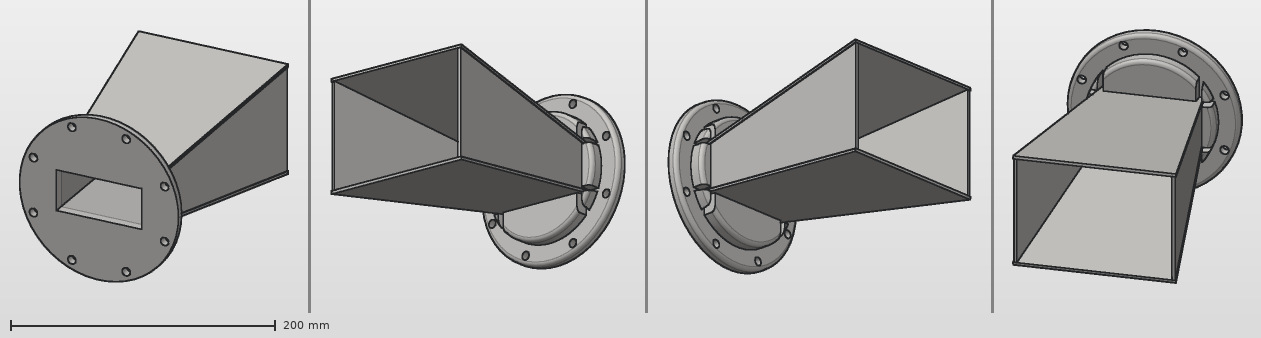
import cadquery as cq
import math


total_length = 190.5

flange_diameter = 134.9
flange_thickness = 8.0
hub_diameter = 102.1
hub_height = 11.0
rim_fillet = 3.5

bolt_count = 8
bolt_diameter = 6.7
bolt_circle_diameter = 120.4
bolt_start_angle = 180.0 / bolt_count

opening_width = 72.2
opening_height = 34.1

plate_thickness = 2.5
plate_overhang = 0.5
mouth_width = 120.8
mouth_height = 87.2

half_width = opening_width / 2
half_height = opening_height / 2
hub_end = flange_thickness + hub_height
top_plate_reach = plate_thickness + plate_overhang
horn_length = total_length - flange_thickness
side_angle = math.atan2((mouth_width - opening_width) / 2, horn_length)
top_angle = math.atan2((mouth_height - opening_height) / 2, horn_length)


def disc(diameter, start, end):
    """Cylinder about the Y axis between two Y positions."""
    return cq.Workplane("XZ", origin=(0, start, 0)).circle(diameter / 2).extrude(start - end)


def spread_at(half_opening, angle, y, offset=0.0):
    """Distance from the axis to a flared plane, offset outward along its normal."""
    return half_opening + (y - flange_thickness) * math.tan(angle) + offset / math.cos(angle)


def plate_profile(half_opening, angle):
    """Plate section as (distance from axis, y), its mouth end square to the plate."""
    inner_mouth = spread_at(half_opening, angle, total_length)
    return [
        (half_opening, flange_thickness),
        (inner_mouth, total_length),
        (
            inner_mouth + plate_thickness * math.cos(angle),
            total_length - plate_thickness * math.sin(angle),
        ),
        (spread_at(half_opening, angle, flange_thickness, plate_thickness), flange_thickness),
    ]


def slot_profile(half_opening, angle, slot_depth):
    """Hub slot section: straight inner wall, outer wall parallel to the plate."""
    return [
        (half_opening, flange_thickness),
        (half_opening, hub_end),
        (spread_at(half_opening, angle, hub_end, slot_depth), hub_end),
        (spread_at(half_opening, angle, flange_thickness, slot_depth), flange_thickness),
    ]


def flare_profile(half_opening, angle, offset=0.0):
    """Symmetric trapezoid of (distance from axis, y) from the flange to the mouth."""
    near = spread_at(half_opening, angle, flange_thickness, offset)
    far = spread_at(half_opening, angle, total_length, offset)
    return [
        (-near, flange_thickness),
        (near, flange_thickness),
        (far, total_length),
        (-far, total_length),
    ]


def prism_along_z(profile):
    """Section in X and Y, extruded both ways across the whole part."""
    return cq.Workplane("XY").polyline(profile).close().extrude(flange_diameter / 2, both=True)


def prism_along_x(profile):
    """Section in Z and Y, extruded both ways across the whole part."""
    points = [(y, z) for z, y in profile]
    return cq.Workplane("YZ").polyline(points).close().extrude(flange_diameter / 2, both=True)


def with_mirror(body, plane):
    return body.union(body.mirror(plane))


def make_flange():
    flange = disc(flange_diameter, 0, flange_thickness).faces(">Y").edges().fillet(rim_fillet)
    bolts = (
        cq.Workplane("XZ")
        .polarArray(bolt_circle_diameter / 2, bolt_start_angle, 360, bolt_count)
        .circle(bolt_diameter / 2)
        .extrude(-flange_thickness)
    )
    return flange.cut(bolts)


def make_hub():
    """Hub split by slots that receive the four horn plates."""
    hub = disc(hub_diameter, flange_thickness, hub_end).faces(">Y").edges().fillet(rim_fillet)
    side_slots = with_mirror(prism_along_z(slot_profile(half_width, side_angle, top_plate_reach)), "YZ")
    top_slots = with_mirror(prism_along_x(slot_profile(half_height, top_angle, plate_thickness)), "XY")
    return hub.cut(side_slots).cut(top_slots)


def make_top_plates():
    """Top and bottom plates, slightly wider than the outer faces of the side plates."""
    outline = flare_profile(half_width, side_angle, top_plate_reach)
    plate = prism_along_x(plate_profile(half_height, top_angle)).intersect(prism_along_z(outline))
    return with_mirror(plate, "XY")


def make_side_plates():
    """Side plates, fitted between the inner faces of the top and bottom plates."""
    outline = flare_profile(half_height, top_angle)
    plate = prism_along_z(plate_profile(half_width, side_angle)).intersect(prism_along_x(outline))
    return with_mirror(plate, "YZ")


opening = cq.Workplane("XZ").rect(opening_width, opening_height).extrude(-hub_end)

result = (
    make_flange()
    .union(make_hub())
    .cut(opening)
    .union(make_top_plates())
    .union(make_side_plates())
)